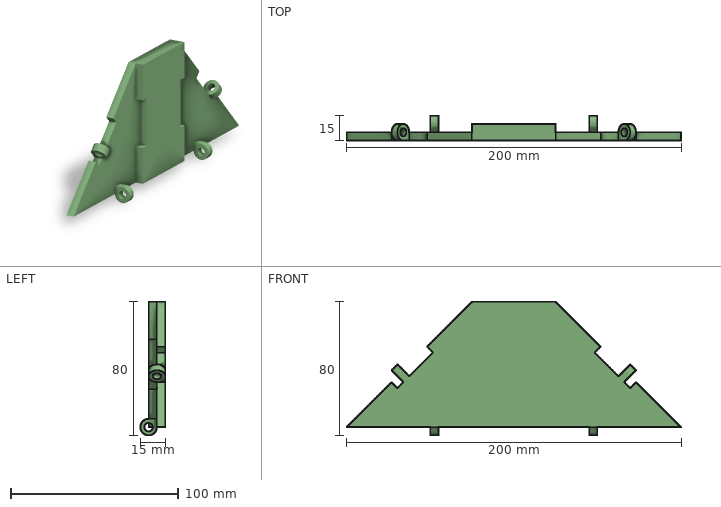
import cadquery as cq
import math

base_length = 200.0
top_length = 50.0
plate_height = 75.0
thickness = 5.0
notch_length = 30.0
block_notch_height = 30.0
pin_diameter = 5.0
bottom_lug_outer_x = 50.0

half_base = base_length / 2
half_top = top_length / 2
block_depth = thickness
notch_depth = thickness
block_notch_depth = thickness
lug_width = thickness
knuckle_radius = thickness
slope_angle = math.degrees(math.atan2(plate_height, half_base - half_top))
slope_middle_x = (half_base + half_top) / 2
middle_z = plate_height / 2


def box_between(x_min, x_max, y_min, y_max, z_min, z_max):
    size = (x_max - x_min, y_max - y_min, z_max - z_min)
    return cq.Workplane("XY").box(*size, centered=False).translate((x_min, y_min, z_min))


def cylinder_along_x(radius, x_start, length, y):
    return cq.Workplane("YZ").center(y, 0).circle(radius).extrude(length).translate((x_start, 0, 0))


def on_left_slope(body):
    """Move a body from the origin, X along the edge, to the middle of the left slope."""
    turned = body.rotate((0, 0, 0), (0, 1, 0), -slope_angle)
    return turned.translate((-slope_middle_x, 0, middle_z))


def make_lug(x_start, axis_y, tab_y_min, tab_z_min, tab_z_max):
    """Round knuckle with a square tab joining it to the plate, without its pin hole."""
    knuckle = cylinder_along_x(knuckle_radius, x_start, lug_width, axis_y)
    tab = box_between(x_start, x_start + lug_width, tab_y_min, axis_y, tab_z_min, tab_z_max)
    return knuckle.union(tab)


plate = (
    cq.Workplane("XZ")
    .polyline([(-half_base, 0), (half_base, 0), (half_top, plate_height), (-half_top, plate_height)])
    .close()
    .extrude(-thickness)
)

block_back = thickness + block_depth
block = box_between(-half_top, half_top, thickness, block_back, 0, plate_height)
block_notch = box_between(
    -half_top, -half_top + block_notch_depth, thickness, block_back,
    middle_z - block_notch_height / 2, middle_z + block_notch_height / 2,
)
block = block.cut(block_notch).cut(block_notch.mirror("YZ"))

half_notch = notch_length / 2
slope_lug_start = -half_notch + lug_width
slope_notch = on_left_slope(box_between(-half_notch, half_notch, 0, thickness, -notch_depth, notch_depth))
slope_lug = on_left_slope(make_lug(slope_lug_start, thickness, 0, -notch_depth, 0))
slope_hole = on_left_slope(cylinder_along_x(pin_diameter / 2, slope_lug_start, lug_width, thickness))

bottom_lug = make_lug(-bottom_lug_outer_x, block_back, thickness, 0, knuckle_radius)
bottom_hole = cylinder_along_x(pin_diameter / 2, -bottom_lug_outer_x, lug_width, block_back)

result = plate.cut(slope_notch).cut(slope_notch.mirror("YZ")).union(block)
for lug, hole in ((slope_lug, slope_hole), (bottom_lug, bottom_hole)):
    result = result.union(lug).union(lug.mirror("YZ"))
    result = result.cut(hole).cut(hole.mirror("YZ"))